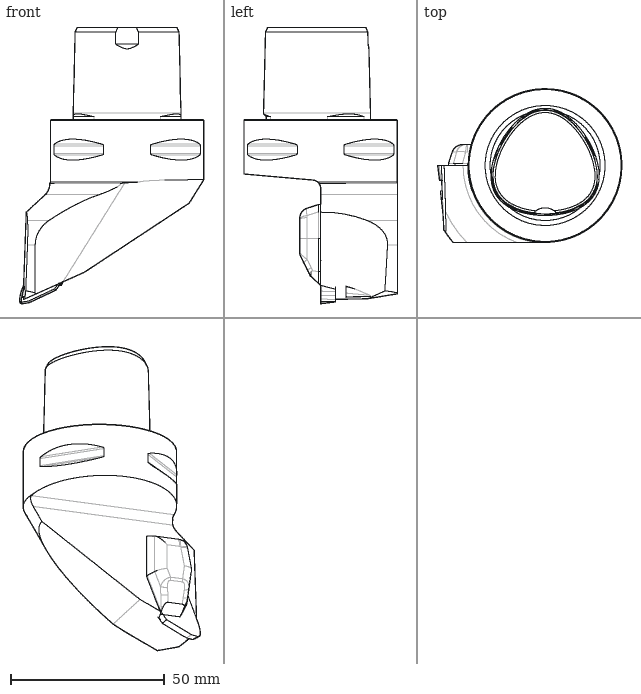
import cadquery as cq
import math


shank_top = 30.0
shank_chamfer_height = 1.5
shank_chamfer_width = 0.7
shank_base_radius = 17.5
shank_taper = 1 / 40
lobe_height = 1.2
lobe_base = 2.1
neck_radius = 17.7

notch_diameter = 10.0
notch_wall_y = -13.8
notch_floor = 24.6
notch_point_depth = 4.0

flange_diameter = 50.0
flange_radius = flange_diameter / 2
flange_edge_chamfer = 0.3
seat_groove_inner_radius = 17.9
seat_groove_outer_radius = 19.5
seat_groove_depth = 0.5
flange_underside = -19.4
grip_flat_distance = 22.2
grip_middle = -9.8
grip_floor_height = 3.15
grip_mouth_height = 6.8
grip_corner_radius = 0.6

head_edge = -20.4
head_neck_radius = 25.2
head_fillet_top = -20.9
head_fillet_bottom = -24.5
head_cone_radius = 35.7
head_cone_end = -32.85
head_outer_radius = 39.1
head_outer_top = -40.9
round_turn = math.radians(45)
head_bottom = -63.0
head_slant = 58.0
head_front_y = -25.1
tip_underside_angle = 24.0
tip_underside_point = (-33.3, 0, -58.4)
back_underside_angle = 33.4
back_underside_point = (19.8, 0, -27.5)
left_face_point = (-32.85, 0, -29.9)
left_face_normal = (-1, -0.038, 0.036)
corner_bevel_point = (-32.7, -21.15, -56.0)
corner_bevel_normal = (-0.63, -0.35, -0.69)

clearance_slope = 5.0
clearance_corner_z = -20.0
clearance_fillet = 2.7

insert_thickness = 4.9
insert_relief = 7.0
insert_outline = [
    (-35.0, -59.3), (-34.7, -59.85), (-34.2, -60.0), (-31.9, -59.7), (-23.2, -55.6),
    (-20.5, -52.0), (-30.5, -45.9), (-34.5, -55.9), (-34.8, -57.2), (-35.0, -58.5),
]

clamp_height = 6.8
clamp_base_height = 0.6
clamp_side_draft = 18.0
clamp_corner_radius = 3.15
clamp_edge_radius = 3.6
clamp_slope_edge_radius = 2.25
clamp_outline = [
    (-29.3, -27.6), (-31.5, -38.7), (-30.1, -49.5), (-24.3, -61.2), (-16.2, -41.4), (-16.2, -27.6),
]
clamp_slope = [(6.8, -43.9), (3.4, -50.85), (0, -54.0)]

support_start_y = -8.3
support_apex = (-32.9, -18.9, -57.5)
support_outline = [(-33.5, -54.3), (-34.0, -56.5), (-34.1, -57.9), (-31.95, -57.15)]

trim_size = 180.0
overrun = 0.9
curve_points = 90


def lobed_wire(radius, z):
    """Closed three-lobed curve with one lobe toward +Y."""
    def point(turn):
        angle = 2 * math.pi * turn
        return (
            radius * math.cos(angle) - lobe_height * math.sin(2 * angle),
            radius * math.sin(angle) - lobe_height * math.cos(2 * angle),
        )
    return cq.Workplane("XY", origin=(0, 0, z)).parametricCurve(point, N=curve_points).val()


def make_shank():
    chamfer_start = shank_top - shank_chamfer_height
    edge_radius = shank_base_radius - shank_taper * (chamfer_start - lobe_base)
    base = lobed_wire(shank_base_radius, lobe_base)
    edge = lobed_wire(edge_radius, chamfer_start)
    top = lobed_wire(edge_radius - shank_chamfer_width, shank_top)
    cone = cq.Workplane(cq.Solid.makeLoft([base, edge], True))
    cap = cq.Workplane(cq.Solid.makeLoft([edge, top], True))
    foot = lobed_wire(shank_base_radius, 0)
    foot_prism = cq.Workplane(cq.Solid.makeLoft([foot, base], True))
    neck = (
        cq.Workplane("XZ")
        .polyline([
            (0, 0), (neck_radius, 0), (neck_radius, lobe_base - lobe_height),
            (neck_radius + lobe_height, lobe_base), (0, lobe_base),
        ])
        .close()
        .revolve(360, (0, 0), (0, 1))
    )
    return cone.union(cap).union(foot_prism.intersect(neck)).cut(make_notch())


def make_notch():
    radius = notch_diameter / 2
    axis_y = notch_wall_y - radius
    return (
        cq.Workplane("XZ")
        .polyline([
            (0, notch_floor - notch_point_depth), (radius, notch_floor),
            (radius, shank_top + overrun), (0, shank_top + overrun),
        ])
        .close()
        .revolve(360, (0, 0), (0, 1))
        .translate((0, axis_y, 0))
    )


def make_flange():
    flange = (
        cq.Workplane("XY")
        .circle(flange_radius)
        .extrude(flange_underside)
        .faces(">Z")
        .chamfer(flange_edge_chamfer)
    )
    groove_middle = (seat_groove_inner_radius + seat_groove_outer_radius) / 2
    seat_groove = (
        cq.Workplane("XZ")
        .moveTo(seat_groove_inner_radius, 0)
        .threePointArc((groove_middle, -seat_groove_depth), (seat_groove_outer_radius, 0))
        .close()
        .revolve(360, (0, 0), (0, 1))
    )
    return flange.cut(seat_groove)


def gripper_groove(angle):
    depth = flange_radius - grip_flat_distance
    slope = (grip_mouth_height - grip_floor_height) / 2 / depth
    mouth = grip_floor_height / 2 + 2 * depth * slope
    floor = grip_floor_height / 2
    outer = grip_flat_distance + 2 * depth
    return (
        cq.Workplane("XZ")
        .polyline([
            (grip_flat_distance, grip_middle - floor), (outer, grip_middle - mouth),
            (outer, grip_middle + mouth), (grip_flat_distance, grip_middle + floor),
        ])
        .close()
        .extrude(flange_radius, both=True)
        .faces("<X")
        .edges("|Y")
        .fillet(grip_corner_radius)
        .rotate((0, 0, 0), (0, 0, 1), angle)
    )


def trim_block(point, outward):
    """Large block that fills the space outside a plane."""
    plane = cq.Plane(origin=point, normal=outward)
    return cq.Workplane(plane).rect(trim_size, trim_size).extrude(trim_size)


def turned_head():
    """Fillet, cone, rounding and cylinder about the shank axis."""
    half_turn = round_turn / 2
    fillet_drop = head_fillet_top - head_fillet_bottom
    fillet_radius = fillet_drop / math.sin(round_turn)
    fillet_growth = fillet_radius * (1 - math.cos(round_turn))
    cone_start_radius = head_neck_radius + fillet_growth
    fillet_middle = (
        head_neck_radius + fillet_radius * (1 - math.cos(half_turn)),
        head_fillet_top - fillet_radius * math.sin(half_turn),
    )
    rounding_radius = (head_cone_end - head_outer_top) / math.sin(round_turn)
    rounding_middle = (
        head_outer_radius - rounding_radius * (1 - math.cos(half_turn)),
        head_outer_top + rounding_radius * math.sin(half_turn),
    )
    return (
        cq.Workplane("XZ")
        .moveTo(0, flange_underside)
        .lineTo(flange_radius, flange_underside)
        .lineTo(flange_radius, head_edge)
        .lineTo(head_neck_radius, head_fillet_top)
        .threePointArc(fillet_middle, (cone_start_radius, head_fillet_bottom))
        .lineTo(head_cone_radius, head_cone_end)
        .threePointArc(rounding_middle, (head_outer_radius, head_outer_top))
        .lineTo(head_outer_radius, head_bottom)
        .lineTo(0, head_bottom)
        .close()
        .revolve(360, (0, 0), (0, 1))
    )


def slanted_side():
    """Stadium swept down and to the left: its round end is the right side of the head."""
    drop = flange_underside - head_bottom
    shift = drop / math.tan(math.radians(head_slant))
    reach = 2 * head_outer_radius
    radius = -head_front_y

    def stadium(centre_x, z):
        outline = (
            cq.Workplane("XY", origin=(0, 0, z))
            .moveTo(-reach, -radius)
            .lineTo(centre_x, -radius)
            .threePointArc((centre_x + radius, 0), (centre_x, radius))
            .lineTo(-reach, radius)
            .close()
        )
        return outline.val()
    return cq.Workplane(
        cq.Solid.makeLoft([stadium(0, flange_underside), stadium(-shift, head_bottom)], True)
    )


def underside_normal(angle):
    tilt = math.radians(angle)
    return (math.sin(tilt), 0, -math.cos(tilt))


def make_head():
    head = turned_head().intersect(slanted_side())
    head = head.cut(trim_block(tip_underside_point, underside_normal(tip_underside_angle)))
    head = head.cut(trim_block(back_underside_point, underside_normal(back_underside_angle)))
    head = head.cut(trim_block(left_face_point, left_face_normal))
    head = head.union(make_support())
    return head.cut(trim_block(corner_bevel_point, corner_bevel_normal))


def make_support():
    """Pyramid on the left face with its base toward the insert."""
    base = [(x, support_start_y, z) for x, z in support_outline]
    outlines = [base]
    for start, end in zip(base, base[1:] + base[:1]):
        outlines.append([start, end, support_apex])
    faces = []
    for outline in outlines:
        wire = cq.Wire.makePolygon([cq.Vector(*p) for p in outline], close=True)
        faces.append(cq.Face.makeFromWires(wire))
    return cq.Workplane(cq.Solid.makeSolid(cq.Shell.makeShell(faces)))


def make_clearance():
    """Room on the +Y side of the cutting face, under the sloped flange underside."""
    reach = 2 * flange_radius
    rise = reach * math.tan(math.radians(clearance_slope))
    return (
        cq.Workplane("YZ")
        .polyline([
            (0, 2 * head_bottom), (0, clearance_corner_z),
            (reach, clearance_corner_z + rise), (reach, 2 * head_bottom),
        ])
        .close()
        .extrude(trim_size / 2, both=True)
        .edges(cq.selectors.NearestToPointSelector((0, 0, clearance_corner_z)))
        .fillet(clearance_fillet)
    )


def make_insert():
    """Plate in the cutting face, narrowing toward -Y by its relief angle."""
    return (
        cq.Workplane("XZ")
        .polyline(insert_outline)
        .close()
        .extrude(insert_thickness, taper=insert_relief)
    )


def make_clamp():
    base = cq.Workplane("XZ").polyline(clamp_outline).close().extrude(-clamp_base_height)
    corner_x, corner_z = clamp_outline[0]
    boss = (
        cq.Workplane("XZ", origin=(0, clamp_base_height, 0))
        .polyline(clamp_outline)
        .close()
        .extrude(clamp_base_height - clamp_height, taper=clamp_side_draft)
        .edges(cq.selectors.NearestToPointSelector((corner_x, clamp_height / 2, corner_z)))
        .fillet(clamp_corner_radius)
        .faces(">Y")
        .edges()
        .fillet(clamp_edge_radius)
    )
    lower_slope = (
        cq.Workplane("YZ")
        .polyline(clamp_slope + [(0, head_bottom), (clamp_height, head_bottom)])
        .close()
        .extrude(trim_size, both=True)
    )
    clamp = base.union(boss).cut(lower_slope)
    slope_start_y, slope_start_z = clamp_slope[0]
    slope_end_y, slope_end_z = clamp_slope[1]
    slope_middle = (corner_x, (slope_start_y + slope_end_y) / 2, (slope_start_z + slope_end_z) / 2)
    return clamp.edges(cq.selectors.NearestToPointSelector(slope_middle)).fillet(clamp_slope_edge_radius)


def make_holder(insert):
    holder = make_flange().union(make_head()).cut(make_clearance())
    for angle in range(45, 360, 90):
        holder = holder.cut(gripper_groove(angle))
    return holder.union(make_shank()).union(make_clamp()).cut(insert)


insert = make_insert()
holder = make_holder(insert)

result = cq.Compound.makeCompound([holder.val(), insert.val()])